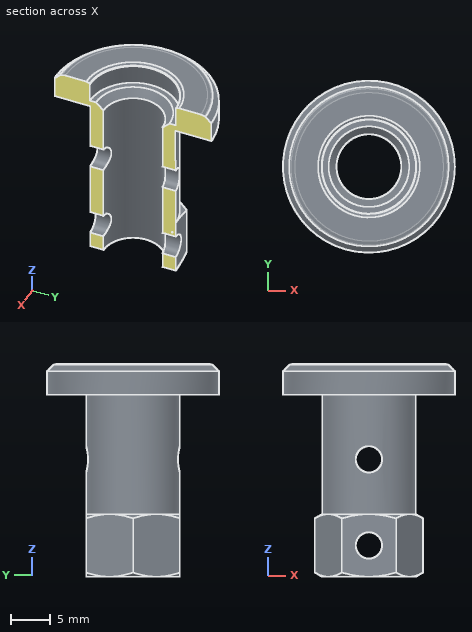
import cadquery as cq
import math

hex_across_flats = 12.0
hex_height = 8.0
hex_chamfer_angle = 30.0

stem_diameter = 12.0

flange_diameter = 22.0
flange_thickness = 4.0
total_height = 27.24
bevel_angle = 45.0
bevel_top_diameter = 20.4
shoulder_diameter = 20.0
shoulder_slope = 22.0
crown_slope = 10.6
crown_diameter = 19.0

bore_diameter = 8.25
bore_countersink_diameter = 10.3
bore_countersink_angle = 45.0
pocket_diameter = 12.0
pocket_depth = 3.0
pocket_lip_diameter = 12.12
pocket_lip_height = 0.1
pocket_mouth_diameter = 13.0
pocket_mouth_slope = 22.0

cross_hole_diameter = 3.33
stem_hole_height = 15.0
foot_hole_height = hex_height / 2

cutter_margin = 1.0

flange_bottom = total_height - flange_thickness
hex_across_corners = hex_across_flats / math.cos(math.pi / 6)


def revolve_profile(points):
    """Turn a closed (radius, height) outline about the Z axis."""
    return cq.Workplane("XZ").polyline(points).close().revolve(360, (0, 0, 0), (0, 1, 0))


def cone_drop(radial_width, slope):
    """Height lost across a conical band sloping at the given angle in degrees."""
    return radial_width * math.tan(math.radians(slope))


def make_hex_foot():
    """Hexagon with corners on X, its corners turned off at both ends."""
    prism = cq.Workplane("XY").polygon(6, hex_across_corners).extrude(hex_height)
    inner = hex_across_flats / 2
    outer = hex_across_corners / 2 + cutter_margin
    drop = cone_drop(outer - inner, hex_chamfer_angle)
    envelope = revolve_profile(
        [
            (0, 0),
            (inner, 0),
            (outer, drop),
            (outer, hex_height - drop),
            (inner, hex_height),
            (0, hex_height),
        ]
    )
    return prism.intersect(envelope)


def make_stem_and_flange():
    """Stem standing on the foot, carrying the flange."""
    stem = stem_diameter / 2
    rim = flange_diameter / 2
    bevel_top = bevel_top_diameter / 2
    shoulder = shoulder_diameter / 2
    crown = crown_diameter / 2
    shoulder_z = total_height - cone_drop(shoulder - crown, crown_slope)
    bevel_top_z = shoulder_z - cone_drop(bevel_top - shoulder, shoulder_slope)
    rim_z = bevel_top_z - cone_drop(rim - bevel_top, bevel_angle)
    return revolve_profile(
        [
            (0, hex_height),
            (stem, hex_height),
            (stem, flange_bottom),
            (rim, flange_bottom),
            (rim, rim_z),
            (bevel_top, bevel_top_z),
            (shoulder, shoulder_z),
            (crown, total_height),
            (0, total_height),
        ]
    )


def make_passage():
    """Through bore, countersunk into the flat-bottomed pocket with a bevelled mouth."""
    bore = bore_diameter / 2
    sink = bore_countersink_diameter / 2
    pocket = pocket_diameter / 2
    mouth = pocket_mouth_diameter / 2
    lip = pocket_lip_diameter / 2
    lip_z = total_height - cone_drop(mouth - lip, pocket_mouth_slope)
    pocket_floor = total_height - pocket_depth
    return revolve_profile(
        [
            (0, 0),
            (bore, 0),
            (bore, pocket_floor - cone_drop(sink - bore, bore_countersink_angle)),
            (sink, pocket_floor),
            (pocket, pocket_floor),
            (pocket, lip_z - pocket_lip_height),
            (lip, lip_z),
            (mouth, total_height),
            (0, total_height),
        ]
    )


def make_cross_hole(height):
    """Cylinder along Y, long enough to cross the whole part."""
    return (
        cq.Workplane("XZ")
        .center(0, height)
        .circle(cross_hole_diameter / 2)
        .extrude(hex_across_corners, both=True)
    )


result = make_hex_foot().union(make_stem_and_flange()).cut(make_passage())
for height in (foot_hole_height, stem_hole_height):
    result = result.cut(make_cross_hole(height))